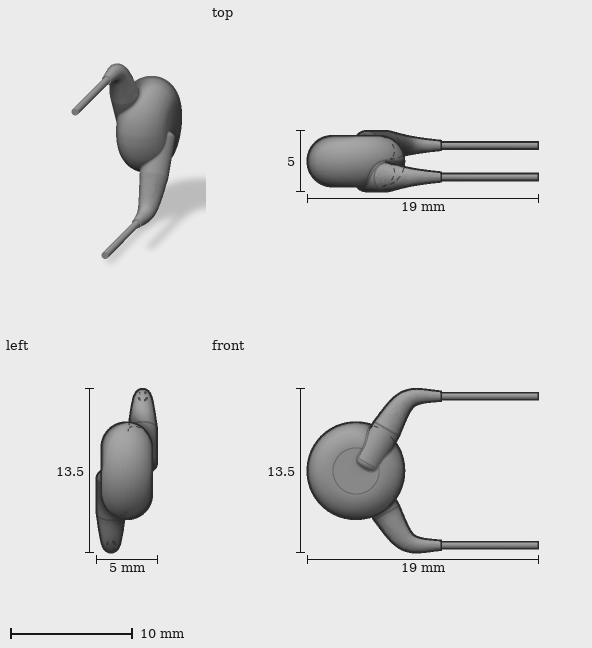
import cadquery as cq
import math

BODY_RADIUS = 4.0
BODY_THICKNESS = 4.2
RIM_RADIUS = BODY_THICKNESS / 2
FLAT_RADIUS = BODY_RADIUS - RIM_RADIUS

LEAD_DIAMETER = 0.6
LEAD_START_X = 7.0
LEAD_END_X = 15.0
LEAD_Y = -1.3
LEAD_Z = 6.13

BARREL_RADIUS = 1.2
BARREL_ANGLE = 60.0
BARREL_LENGTH = 3.7
TAPER_LEG_LENGTH = 3.1
TAPER_TIP_RADIUS = 0.4
BEND_CORNER_X = 4.07
BEND_OFFSET = 0.34

BARREL_END_FILLET = 0.46
JOINT_FILLET = 0.6
BLEND_RADIUS = 0.15

CONTACT_TOLERANCE = 0.001

AXIS_X = math.cos(math.radians(BARREL_ANGLE))
AXIS_Z = math.sin(math.radians(BARREL_ANGLE))


def make_body():
    """Disc revolved about the Y axis."""
    return (
        cq.Workplane("XY")
        .moveTo(0, -RIM_RADIUS)
        .lineTo(FLAT_RADIUS, -RIM_RADIUS)
        .threePointArc((BODY_RADIUS, 0), (FLAT_RADIUS, RIM_RADIUS))
        .lineTo(0, RIM_RADIUS)
        .close()
        .revolve(360, (0, 0, 0), (0, 1, 0))
    )


def point_before_corner(distance):
    """Point on the barrel axis, measured back from the bend corner."""
    return cq.Vector(BEND_CORNER_X - distance * AXIS_X, LEAD_Y, LEAD_Z - distance * AXIS_Z)


def make_barrel():
    """Straight cylinder with a rounded lower end."""
    start = point_before_corner(TAPER_LEG_LENGTH + BARREL_LENGTH)
    plane = cq.Plane(origin=start, xDir=(0, 1, 0), normal=(AXIS_X, 0, AXIS_Z))
    barrel = cq.Workplane(plane).circle(BARREL_RADIUS).extrude(BARREL_LENGTH)
    lower_end = cq.selectors.NearestToPointSelector(start.toTuple())
    return barrel.faces(lower_end).edges().fillet(BARREL_END_FILLET)


def make_taper():
    """Round sleeve that narrows while it bends from the barrel axis to the lead axis."""
    barrel_direction = cq.Vector(AXIS_X, 0, AXIS_Z)
    lead_direction = cq.Vector(1, 0, 0)
    start = point_before_corner(TAPER_LEG_LENGTH)
    tip = cq.Vector(LEAD_START_X, LEAD_Y, LEAD_Z)
    inward = (lead_direction - barrel_direction).normalized()
    bend_middle = point_before_corner(0) + inward * BEND_OFFSET
    path = cq.Edge.makeSpline([start, bend_middle, tip], tangents=[barrel_direction, lead_direction])
    wide_plane = cq.Plane(origin=start, xDir=(0, 1, 0), normal=barrel_direction)
    tip_plane = cq.Plane(origin=tip, xDir=(0, 1, 0), normal=lead_direction)
    wide_section = cq.Workplane(wide_plane).circle(BARREL_RADIUS).wires().val()
    tip_section = cq.Workplane(tip_plane).circle(TAPER_TIP_RADIUS).wires().val()
    return cq.Workplane(cq.Solid.sweep_multi([wide_section, tip_section], path))


def make_lead():
    """Straight round wire starting at the sleeve tip."""
    return (
        cq.Workplane("YZ", origin=(LEAD_START_X, LEAD_Y, LEAD_Z))
        .circle(LEAD_DIAMETER / 2)
        .extrude(LEAD_END_X - LEAD_START_X)
    )


def make_terminal():
    """Barrel, taper and lead in one piece, with the joint of barrel and taper smoothed."""
    sleeve = make_barrel().union(make_taper())
    joint = cq.selectors.NearestToPointSelector(point_before_corner(TAPER_LEG_LENGTH).toTuple())
    return sleeve.edges(joint).fillet(JOINT_FILLET).union(make_lead())


def blend_onto_body(body, terminal):
    """Join a terminal to the disc and fillet the seam where the barrel meets it."""
    disc = body.val()
    joined = body.union(terminal)

    def is_seam(edge):
        middle = cq.Vertex.makeVertex(*edge.positionAt(0.5).toTuple())
        return edge.geomType() != "CIRCLE" and middle.distance(disc) < CONTACT_TOLERANCE

    return joined.newObject(filter(is_seam, joined.edges().vals())).fillet(BLEND_RADIUS)


def half_turn(shape):
    """Copy turned half a revolution about the X axis."""
    return shape.rotate((0, 0, 0), (1, 0, 0), 180)


half_part = blend_onto_body(make_body(), make_terminal())
result = half_part.union(half_turn(half_part))